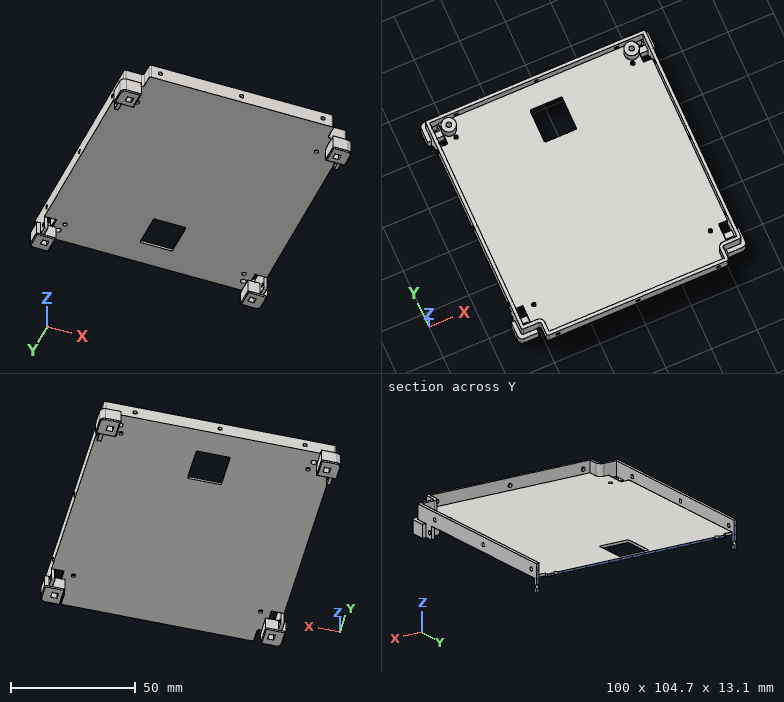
import cadquery as cq

foot_height = 6.4
tray_height = 6.7
floor_thickness = 1.3
total_height = foot_height + tray_height
floor_top = foot_height + floor_thickness

span = 100.0
total_length = 104.7
foot_overhang = 1.8
wall = 1.5
tongue_width = 79.8
corner_radius = 0.8
half_span = span / 2
half_tray = half_span - foot_overhang
half_inside = half_tray - wall
tongue_front = half_span - total_length

foot_length = 8.5
foot_corner_radius = 2.1
foot_edge_chamfer = 0.4
tab_end = half_span - 12.6
tab_bottom = 0.4
tab_corner_radius = 0.5
slot_width = 3.8
square_hole_size = 2.5
square_hole_x = 44.9
square_hole_y = 45.4

screw_hole_diameter = 1.7
wall_hole_spacing = 35.2
wall_hole_z = foot_height + tray_height / 2
tab_hole_y = 39.0
tab_hole_z = 3.2
floor_hole_offset = 38.7

boss_diameter = 6.2
boss_hole_diameter = 2.2
boss_x = 40.1
boss_y = 42.9
window_width = 13.9
window_length = 14.8
window_y = 29.7
window_corner_radius = 0.5

SIDES = (-1, 1)
CORNERS = [(x, y) for x in SIDES for y in SIDES]


def box_between(x_range, y_range, z_range):
    """Box from opposite limits, given in any order."""
    (x0, x1), (y0, y1), (z0, z1) = map(sorted, (x_range, y_range, z_range))
    return cq.Workplane().box(x1 - x0, y1 - y0, z1 - z0, centered=False).translate((x0, y0, z0))


def make_tray():
    square = box_between((-half_tray, half_tray), (-half_tray, half_tray), (foot_height, total_height))
    half_tongue = tongue_width / 2
    tongue = box_between((-half_tongue, half_tongue), (tongue_front, 0), (foot_height, total_height))
    outside = square.union(tongue).edges("|Z").fillet(corner_radius)
    inside = outside.faces(">Z").wires().toPending().offset2D(-wall)
    return inside.cutBlind(floor_thickness - tray_height)


def make_foot(x_side, y_side):
    """Block under one tray corner, rounded at its outer vertical edge."""
    inner = half_span - foot_length
    foot = box_between((inner, half_span), (inner, half_span), (0, foot_height))
    foot = foot.edges("|Z and >X and >Y").fillet(foot_corner_radius)
    foot = foot.faces("<Z").edges().chamfer(foot_edge_chamfer)
    if x_side < 0:
        foot = foot.mirror("YZ")
    if y_side < 0:
        foot = foot.mirror("XZ")
    return foot


def make_tab(x_side, y_side):
    """Downward continuation of a side wall, reaching back into the foot."""
    tab = box_between(
        (x_side * half_inside, x_side * half_tray),
        (y_side * tab_end, y_side * (half_span - foot_length / 2)),
        (tab_bottom, floor_top),
    )
    free_end = "<Y" if y_side > 0 else ">Y"
    return tab.faces(free_end).edges("<Z").fillet(tab_corner_radius)


def make_floor_slot(x_side, y_side):
    return box_between(
        (x_side * half_inside, x_side * (half_inside - slot_width)),
        (y_side * tab_end, y_side * half_inside),
        (foot_height, floor_top),
    )


result = make_tray()

for corner in CORNERS:
    result = result.union(make_foot(*corner)).union(make_tab(*corner))
for corner in CORNERS:
    result = result.cut(make_floor_slot(*corner))

square_hole_points = [(x * square_hole_x, y * square_hole_y) for x, y in CORNERS]
square_holes = (
    cq.Workplane()
    .pushPoints(square_hole_points)
    .rect(square_hole_size, square_hole_size)
    .extrude(floor_top)
)
result = result.cut(square_holes)

boss_points = [(side * boss_x, boss_y) for side in SIDES]
bosses = (
    cq.Workplane(origin=(0, 0, foot_height))
    .pushPoints(boss_points)
    .circle(boss_diameter / 2)
    .extrude(tray_height)
)
boss_slots = make_floor_slot(-1, 1).union(make_floor_slot(1, 1))
boss_holes = cq.Workplane().pushPoints(boss_points).circle(boss_hole_diameter / 2).extrude(total_height)
result = result.union(bosses.cut(boss_slots)).cut(boss_holes)

floor_hole_points = [(x * floor_hole_offset, y * floor_hole_offset) for x, y in CORNERS]
floor_holes = (
    cq.Workplane(origin=(0, 0, foot_height))
    .pushPoints(floor_hole_points)
    .circle(screw_hole_diameter / 2)
    .extrude(floor_thickness)
)
window = (
    cq.Workplane(origin=(0, window_y, foot_height))
    .rect(window_width, window_length)
    .extrude(floor_thickness)
    .edges("|Z")
    .fillet(window_corner_radius)
)
result = result.cut(floor_holes).cut(window)

hole_positions = [i * wall_hole_spacing for i in (-1, 0, 1)]
wall_hole_points = [(p, wall_hole_z) for p in hole_positions]
tab_hole_points = [(side * tab_hole_y, tab_hole_z) for side in SIDES]
holes_along_y = (
    cq.Workplane("XZ")
    .pushPoints(wall_hole_points)
    .circle(screw_hole_diameter / 2)
    .extrude(total_length, both=True)
)
holes_along_x = (
    cq.Workplane("YZ")
    .pushPoints(wall_hole_points + tab_hole_points)
    .circle(screw_hole_diameter / 2)
    .extrude(half_span, both=True)
)
result = result.cut(holes_along_y).cut(holes_along_x)